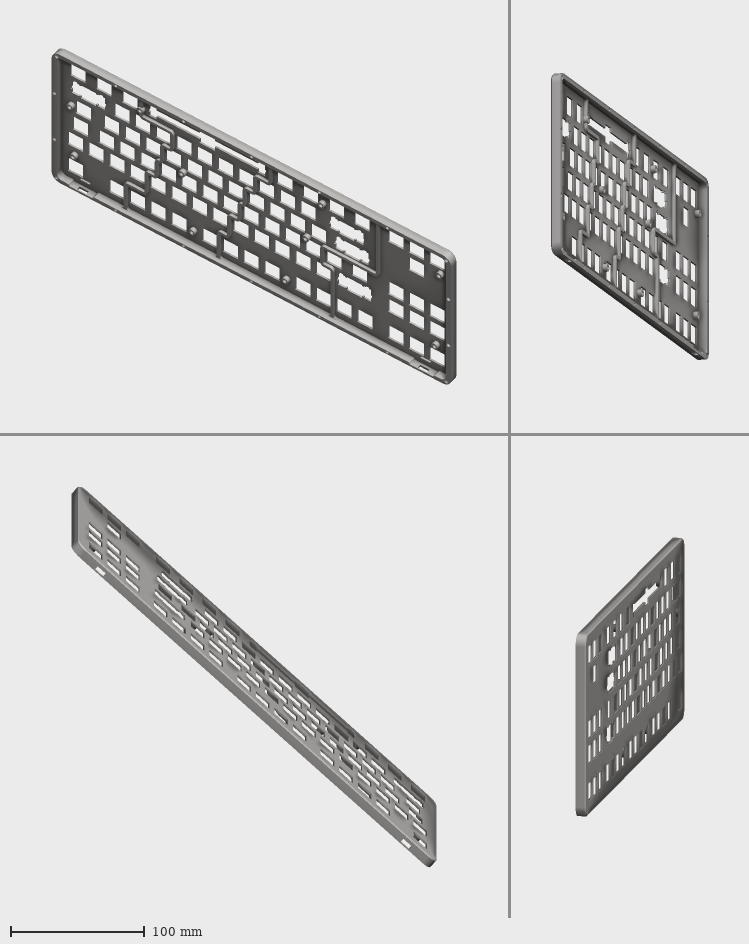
import cadquery as cq
import math

LENGTH = 368.27
HEIGHT = 139.49
DEPTH = 7.75
CORNER_RADIUS = 8.1
BACK_CHAMFER = 1.0
SIDE_RIM = 4.8
LONG_RIM = 3.75
INNER_RADIUS = 5.0
INNER_LENGTH = LENGTH - 2 * SIDE_RIM
INNER_HEIGHT = HEIGHT - 2 * LONG_RIM

PLATE_THICKNESS = 1.5
FRONT_Y = -DEPTH / 2
BACK_Y = DEPTH / 2
PLATE_Y = BACK_Y - PLATE_THICKNESS

PITCH = 19.05
GRID_COLUMNS = 18.5
LAST_ROW = 5.5
SWITCH_SIZE = 14.0
NAVIGATION_COLUMNS = [16, 17, 18]
UP_ARROW_COLUMN = 17


def key_run(first_column, count):
    """Columns of neighbouring single-unit keys."""
    return [first_column + index for index in range(count)]


KEY_ROWS = {
    0: [0.625, 1.875, 3.125, 6.875, 10.625, 11.875, 13.125, 14.375] + NAVIGATION_COLUMNS,
    1: [1.125] + key_run(2.75, 10) + [13.625, UP_ARROW_COLUMN],
    2: [0.875] + key_run(2.25, 11) + [13.875],
    3: [0.75] + key_run(2.0, 12) + [14.25] + NAVIGATION_COLUMNS,
    4: key_run(0.5, 13) + [14] + NAVIGATION_COLUMNS,
    LAST_ROW: [0.5] + key_run(2.5, 4) + key_run(7, 4) + key_run(11.5, 4) + NAVIGATION_COLUMNS,
}

WIDE_KEYS = [(1.125, 1), (13.625, 1), (13.875, 2), (14, 4)]
WIDE_SPACING = 11.94
WIDE_CHANNEL = (-5.0, 5.97)
SPACEBAR = (6.875, 0)
SPACEBAR_SPACING = 50.0
SPACEBAR_CHANNEL = (-2.8, 3.8)
STABILIZER_WIDTH = 6.75
STABILIZER_TOP = 6.77
STABILIZER_BOTTOM = -6.0
STABILIZER_FOOT_WIDTH = 3.0
STABILIZER_FOOT_TOP = 7.97
STABILIZER_NOTCH_DEPTH = 0.9
STABILIZER_NOTCH = (-2.0, 0.8)

RIB_WIDTH = 2.7
RIB_HEIGHT = 2.5
RIB_BEND_RADIUS = PITCH / 8
RIB_FOOT_RADIUS = 2.2
SHORTEST_LINE = 0.001
ROW_GAPS = [0.5, 1.5, 2.5, 3.5, 4.75]
RIBS = [
    ([3.75, 5.25, 4.75, 4.5, 4.0, 3.0], ROW_GAPS),
    ([10.0, 9.25, 8.75, 8.5, 8.0, 7.5], ROW_GAPS),
    ([15.2, 12.5, 13.0], [2.5, 3.5]),
]

BOSS_DIAMETER = 6.0
BOSS_HEIGHT = 3.5
BOSS_HOLE_DIAMETER = 3.2
BOSSES = [
    (3.75, 0.1), (12.5, 0.1), (18.21, 0.6), (0.34, 2), (5.75, 2.47),
    (11.75, 2.47), (0.5, 4.75), (18, 4.75), (6.25, 5.5), (10.75, 5.5),
]

LONG_RIM_HOLE_DIAMETER = 2.6
SIDE_HOLE_DIAMETER = 3.4
RIM_HOLE_DEPTH = 3.0
LONG_RIM_HOLE_SPACING = 62.6
LONG_RIM_HOLE_Z = 67.6
SIDE_HOLE_X = 181.7
SIDE_HOLE_Z = 25.0
CORNER_HOLE_X = 179.7
CORNER_HOLE_Z = 65.8

LATCH_X = 157.0
RELIEF_MOUTH = 24.6
RELIEF_FLOOR = 20.0
RELIEF_DEPTH = 1.7
LATCH_LENGTH = 8.6
LEDGE_WIDTH = 1.0
LEDGE_HEIGHT = 1.5
LEDGE_Z = -61.0
RIM_SLOT_WIDTH = 3.2
RIM_SLOT_Y = -1.3


def grid_point(column, row):
    """X and Z of a place on the key grid."""
    return ((column - GRID_COLUMNS / 2) * PITCH, (LAST_ROW / 2 - row) * PITCH)


def plane_at(y):
    """Workplane in X and Z at the given Y; positive extrusions run toward -Y."""
    return cq.Workplane("XZ", origin=(0, y, 0))


def plate_block(x_range, z_range):
    """Block over X and Z ranges that is as thick as the plate."""
    x_min, x_max = sorted(x_range)
    z_min, z_max = sorted(z_range)
    center = ((x_min + x_max) / 2, (z_min + z_max) / 2)
    sketch = plane_at(BACK_Y).pushPoints([center]).rect(x_max - x_min, z_max - z_min)
    return sketch.extrude(PLATE_THICKNESS)


def make_frame():
    frame = plane_at(BACK_Y).rect(LENGTH, HEIGHT).extrude(DEPTH)
    frame = frame.edges("|Y").fillet(CORNER_RADIUS)
    frame = frame.faces(">Y").edges().chamfer(BACK_CHAMFER)
    tray = plane_at(PLATE_Y).rect(INNER_LENGTH, INNER_HEIGHT).extrude(DEPTH)
    return frame.cut(tray.edges("|Y").fillet(INNER_RADIUS))


def rib_path_points(columns, row_gaps):
    """Corners of a rib's centre line, from the top rim down to the bottom rim."""
    top_x, _ = grid_point(columns[0], 0)
    bottom_x, _ = grid_point(columns[-1], 0)
    points = [(top_x, INNER_HEIGHT / 2)]
    for column, next_column, row in zip(columns, columns[1:], row_gaps):
        points.append(grid_point(column, row))
        points.append(grid_point(next_column, row))
    points.append((bottom_x, -INNER_HEIGHT / 2))
    return points


def toward(start, corner, end, distance):
    """Start moved by a distance in the direction that leads from corner to end."""
    share = distance / math.dist(corner, end)
    return (start[0] + share * (end[0] - corner[0]), start[1] + share * (end[1] - corner[1]))


def rounded_path(points, radius):
    """Centre line in which each right-angled corner is an arc of the given radius."""
    path = plane_at(PLATE_Y - RIB_HEIGHT / 2).moveTo(*points[0])
    current = points[0]
    arc_inset = radius * (1 - math.sqrt(0.5))
    for before, corner, after in zip(points, points[1:], points[2:]):
        arc_start = toward(corner, corner, before, radius)
        arc_end = toward(corner, corner, after, radius)
        arc_middle = toward(corner, corner, before, arc_inset)
        arc_middle = toward(arc_middle, corner, after, arc_inset)
        if math.dist(current, arc_start) > SHORTEST_LINE:
            path = path.lineTo(*arc_start)
        path = path.threePointArc(arc_middle, arc_end)
        current = arc_end
    return path.lineTo(*points[-1])


def make_rib(columns, row_gaps):
    points = rib_path_points(columns, row_gaps)
    path = rounded_path(points, RIB_BEND_RADIUS)
    profile = cq.Workplane("XY", origin=(points[0][0], PLATE_Y - RIB_HEIGHT / 2, points[0][1]))
    rib = profile.rect(RIB_WIDTH, RIB_HEIGHT).sweep(path)
    return rib.union(rib_foot(points[0], -1)).union(rib_foot(points[-1], 1))


def rib_foot(end, inward):
    """Concave flare where a rib meets the rim; inward is the Z direction away from the rim."""
    x, rim_z = end
    half = RIB_WIDTH / 2
    tip_z = rim_z + inward * RIB_FOOT_RADIUS
    bulge = RIB_FOOT_RADIUS * (1 - math.sqrt(0.5))
    wide = half + RIB_FOOT_RADIUS
    foot = plane_at(PLATE_Y).moveTo(x - wide, rim_z)
    foot = foot.threePointArc((x - half - bulge, rim_z + inward * bulge), (x - half, tip_z))
    foot = foot.lineTo(x + half, tip_z)
    foot = foot.threePointArc((x + half + bulge, rim_z + inward * bulge), (x + wide, rim_z))
    return foot.close().extrude(RIB_HEIGHT)


def make_bosses():
    places = [grid_point(*boss) for boss in BOSSES]
    return plane_at(PLATE_Y).pushPoints(places).circle(BOSS_DIAMETER / 2).extrude(BOSS_HEIGHT)


def make_boss_holes():
    places = [grid_point(*boss) for boss in BOSSES]
    top = plane_at(PLATE_Y - BOSS_HEIGHT).pushPoints(places)
    return top.circle(BOSS_HOLE_DIAMETER / 2).extrude(-BOSS_HEIGHT)


def make_switch_openings():
    places = [grid_point(column, row) for row, columns in KEY_ROWS.items() for column in columns]
    return plane_at(BACK_Y).pushPoints(places).rect(SWITCH_SIZE, SWITCH_SIZE).extrude(PLATE_THICKNESS)


def make_stabilizer_opening(key, spacing, channel):
    """Two stabilizer housings beside a wide key, joined by the channel for the wire."""
    x, z = grid_point(*key)
    opening = plate_block((x - spacing, x + spacing), (z + channel[0], z + channel[1]))
    for side in (-1, 1):
        center = x + side * spacing
        half = STABILIZER_WIDTH / 2
        half_foot = STABILIZER_FOOT_WIDTH / 2
        notch_end = center + side * (half + STABILIZER_NOTCH_DEPTH)
        housing = plate_block(
            (center - half, center + half), (z + STABILIZER_BOTTOM, z + STABILIZER_TOP)
        )
        foot = plate_block((center - half_foot, center + half_foot), (z, z + STABILIZER_FOOT_TOP))
        notch = plate_block(
            (center, notch_end), (z + STABILIZER_NOTCH[0], z + STABILIZER_NOTCH[1])
        )
        opening = opening.union(housing).union(foot).union(notch)
    return opening


def drill_rim(places, diameter):
    return plane_at(FRONT_Y).pushPoints(places).circle(diameter / 2).extrude(-RIM_HOLE_DEPTH)


def make_rim_holes():
    long_rim_places = []
    side_places = []
    for z_side in (-1, 1):
        for step in range(-2, 3):
            long_rim_places.append((step * LONG_RIM_HOLE_SPACING, z_side * LONG_RIM_HOLE_Z))
        for x_side in (-1, 1):
            side_places.append((x_side * SIDE_HOLE_X, z_side * SIDE_HOLE_Z))
            side_places.append((x_side * CORNER_HOLE_X, z_side * CORNER_HOLE_Z))
    long_rim_holes = drill_rim(long_rim_places, LONG_RIM_HOLE_DIAMETER)
    return long_rim_holes.union(drill_rim(side_places, SIDE_HOLE_DIAMETER))


def make_latch_cut(x):
    """Relief in the bottom rim with smooth S-shaped ends, and a slot through its floor."""
    mouth_z = -INNER_HEIGHT / 2
    floor_z = mouth_z - RELIEF_DEPTH
    half_mouth = RELIEF_MOUTH / 2
    half_floor = RELIEF_FLOOR / 2
    level = (1, 0)
    relief = plane_at(PLATE_Y).moveTo(x - half_mouth, mouth_z)
    relief = relief.spline([(x - half_floor, floor_z)], tangents=[level, level], includeCurrent=True)
    relief = relief.lineTo(x + half_floor, floor_z)
    relief = relief.spline([(x + half_mouth, mouth_z)], tangents=[level, level], includeCurrent=True)
    relief = relief.close().extrude(DEPTH)
    slot = cq.Workplane("XY", origin=(x, RIM_SLOT_Y, mouth_z))
    slot = slot.rect(LATCH_LENGTH, RIM_SLOT_WIDTH).extrude(-LONG_RIM)
    return relief.union(slot)


def make_latch_ledge(x):
    sketch = plane_at(PLATE_Y).pushPoints([(x, LEDGE_Z)])
    return sketch.rect(LATCH_LENGTH, LEDGE_WIDTH).extrude(LEDGE_HEIGHT)


result = make_frame()
for rib_columns, rib_rows in RIBS:
    result = result.union(make_rib(rib_columns, rib_rows))
result = result.union(make_bosses())
result = result.cut(make_boss_holes())
result = result.cut(make_switch_openings())
for wide_key in WIDE_KEYS:
    result = result.cut(make_stabilizer_opening(wide_key, WIDE_SPACING, WIDE_CHANNEL))
result = result.cut(make_stabilizer_opening(SPACEBAR, SPACEBAR_SPACING, SPACEBAR_CHANNEL))
result = result.cut(make_rim_holes())
for x_direction in (-1, 1):
    result = result.cut(make_latch_cut(x_direction * LATCH_X))
    result = result.union(make_latch_ledge(x_direction * LATCH_X))